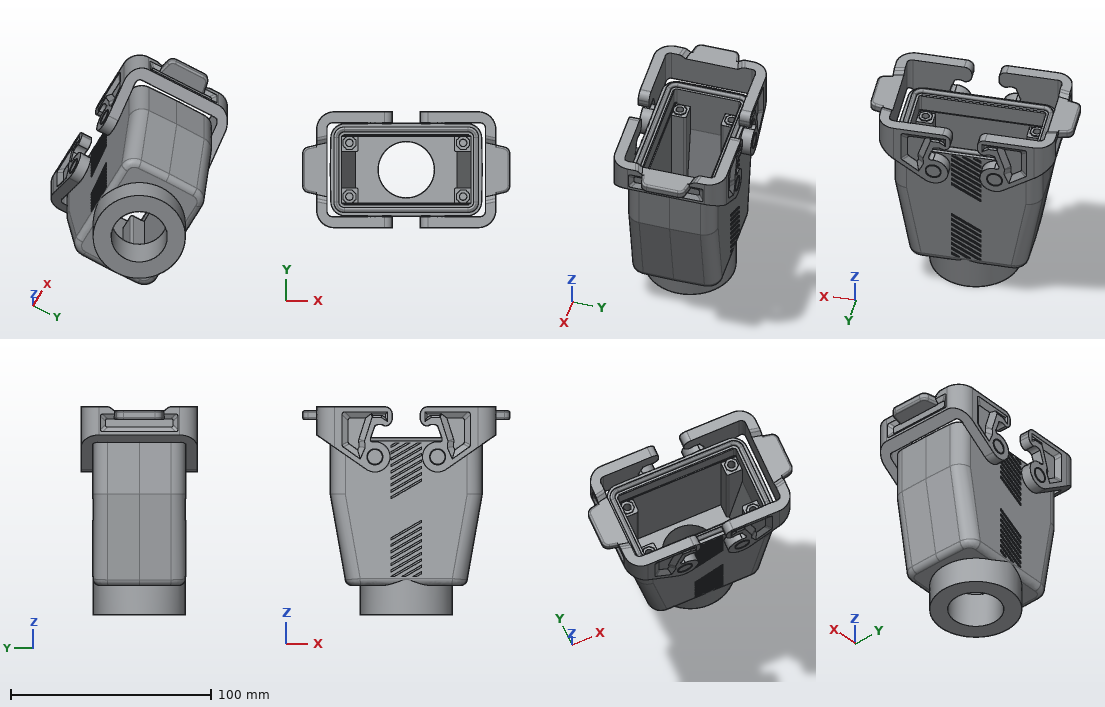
import cadquery as cq
import math

TOTAL_HEIGHT = 103.9
RIM_Z = 86.7
SHOULDER_Z = 60.2
BODY_BOTTOM_Z = 14.6

BODY_HALF_X = 38.0
BODY_HALF_Y = 23.05
SIDE_CROWN = 0.4
CORNER_RADIUS = 7.3
TAPER_ANGLE = 10.0
BOTTOM_FILLET = 3.5
BODY_BOTTOM_HALF_X = BODY_HALF_X - (SHOULDER_Z - BODY_BOTTOM_Z) * math.tan(math.radians(TAPER_ANGLE))

NECK_CLEARANCE = 0.02
NECK_RADIUS = BODY_HALF_Y - NECK_CLEARANCE
NECK_TOP_Z = 19.0
CABLE_HOLE_DIAMETER = 28.0

CAVITY_HALF_X = 32.4
CAVITY_HALF_Y = 16.6
MOUTH_HALF_Y = 17.2
MOUTH_CORNER_RADIUS = 1.2
MOUTH_BEVEL = 0.5
LEDGE_Z = 77.2
FLOOR_Z = 20.0
FLOOR_HALF_X = CAVITY_HALF_X - (SHOULDER_Z - FLOOR_Z) * math.tan(math.radians(TAPER_ANGLE))

POST_TOP_Z = 76.8
POST_INNER_X = 24.0
POST_INNER_Y = 9.0
POST_WALL_OVERLAP = 1.0
POST_CORNER_RADIUS = 1.2
SEAT_CENTER_X = 28.4
SEAT_CENTER_Y = 13.4
SEAT_SIDE = 6.4
SEAT_CHAMFER = 1.8
SEAT_HEIGHT = 0.6
SCREW_HOLE_DIAMETER = 3.7
SCREW_HOLE_DEPTH = 12.0

BEAD_HALF_X = 34.9
BEAD_HALF_Y = 20.1
BEAD_WIDTH = 2.5
BEAD_HEIGHT = 1.7
BEAD_TOP_RADIUS = 1.23
BEAD_CORNER_RADIUS = 4.0

HATCH_HALF_WIDTH = 7.55
HATCH_TOP_Z = 85.8
HATCH_BOTTOM_Z = 19.15
HATCH_HEIGHT = 0.3
HATCH_ANGLE = 30.0
HATCH_PITCH = 3.2
HATCH_RIB_HEIGHT_Z = 1.05
HATCH_RIBS_PER_GROUP = 9
UPPER_HATCH_START_Z = 84.1
LOWER_HATCH_START_Z = 37.9

LEVER_OUTER_X = 44.8
LEVER_INNER_X = 39.5
LEVER_OUTER_Y = 29.0
LEVER_INNER_Y = BODY_HALF_Y + HATCH_HEIGHT
LEVER_OUTER_RADIUS = 9.0
LEVER_INNER_RADIUS = 2.5
LEVER_TIP_X = 6.95
LEVER_HEEL_Z = 89.8
HOOK_BOTTOM_Z = 94.2
HOOK_RADIUS = 3.8
THROAT_CREST = (-13.4, 95.0)
THROAT_END = (-15.6, 94.3)
SHANK_CORNER_START = (-17.95, 87.7)
SHANK_CORNER_MIDDLE = (-17.6, 86.7)
PIVOT_X = 15.65
PIVOT_Z = 78.85
EYE_RADIUS = 7.55
PIN_RADIUS = 3.7
PIN_GAP_RADIUS = 4.0
PIN_GAP_DEPTH = 0.3
PIN_EMBED = 1.0

WALL_TILT = 56.0
ARM_RECESS_DEPTH = 2.0
ARM_RECESS_ROUNDING = 2.5
ARM_PANEL_POINTS = [
    (-32.0, 101.3),
    (-16.2, 101.3),
    (-20.8, 86.8),
    (-20.5, 83.5),
    (-23.0, 77.8),
    (-32.0, 84.2),
]
HOOK_GROOVE_POINTS = [
    (-19.5, 101.3),
    (-9.3, 101.3),
    (-9.3, 96.5),
    (-12.5, 98.6),
    (-17.0, 98.6),
]
HOOK_GROOVE_DEPTH = 0.65
BRIDGE_RECESS_HALF_Y = 19.3
BRIDGE_RECESS_BOTTOM_Z = 91.4
BRIDGE_RECESS_TOP_Z = 100.2
BRIDGE_RECESS_DEPTH = 1.6
BRIDGE_RECESS_ROUNDING = 2.0

TAB_TIP_X = 51.75
TAB_TOP_Z = 101.9
TAB_THICKNESS = 4.4
TAB_ROOT_HALF_Y = 13.5
TAB_TIP_HALF_Y = 10.8
TAB_CORNER_RADIUS = 3.5
TAB_EDGE_FILLET = 1.0
NOTCH_FLARE = 2.7
NOTCH_SHOULDER_RADIUS = 2.5


def half_body_section(half_x, z):
    """Section of the rear half: rounded rear corners, ends flaring toward and past the middle plane."""
    corner_x = half_x - SIDE_CROWN
    overrun_x = half_x + SIDE_CROWN
    points = [
        (overrun_x, -BODY_HALF_Y),
        (corner_x, BODY_HALF_Y),
        (-corner_x, BODY_HALF_Y),
        (-overrun_x, -BODY_HALF_Y),
    ]
    wire = cq.Wire.makePolygon([cq.Vector(x, y, z) for x, y in points], close=True)
    rear_corners = [v for v in wire.Vertices() if v.Y > 0]
    return wire.fillet2D(CORNER_RADIUS, rear_corners)


def make_body():
    """Tapered hood with slightly crowned ends, made as a rear half and its mirror image, plus the neck."""
    bottom = half_body_section(BODY_BOTTOM_HALF_X, BODY_BOTTOM_Z)
    shoulder = half_body_section(BODY_HALF_X, SHOULDER_Z)
    rim = half_body_section(BODY_HALF_X, RIM_Z)
    lower = cq.Workplane(cq.Solid.makeLoft([bottom, shoulder], True))
    lower = lower.faces("<Z").edges("not(<Y)").fillet(BOTTOM_FILLET)
    upper = cq.Workplane(cq.Solid.makeLoft([shoulder, rim], True))
    rear_space = cq.Workplane("XY").box(
        4 * BODY_HALF_X, 2 * BODY_HALF_Y, 2 * TOTAL_HEIGHT, centered=(True, False, True)
    )
    rear = lower.union(upper).intersect(rear_space)
    neck = cq.Workplane("XY").circle(NECK_RADIUS).extrude(NECK_TOP_Z)
    return rear.union(rear.mirror("XZ")).union(neck)


def make_cavity():
    """Inner space: tapered chamber, wider mouth with a bevelled rim, and the cable hole in the floor."""
    outline = [
        (-FLOOR_HALF_X, FLOOR_Z),
        (FLOOR_HALF_X, FLOOR_Z),
        (CAVITY_HALF_X, SHOULDER_Z),
        (CAVITY_HALF_X, LEDGE_Z),
        (-CAVITY_HALF_X, LEDGE_Z),
        (-CAVITY_HALF_X, SHOULDER_Z),
    ]
    cavity = cq.Workplane("XZ").polyline(outline).close().extrude(CAVITY_HALF_Y, both=True)
    mouth = (
        cq.Workplane("XY", origin=(0, 0, LEDGE_Z))
        .rect(2 * CAVITY_HALF_X, 2 * MOUTH_HALF_Y)
        .extrude(RIM_Z - LEDGE_Z)
        .edges("|Z")
        .fillet(MOUTH_CORNER_RADIUS)
    )
    bevel_length = 2 * (CAVITY_HALF_X - MOUTH_CORNER_RADIUS)
    bevel = (
        cq.Workplane("XY", origin=(0, 0, RIM_Z - MOUTH_BEVEL))
        .rect(bevel_length, 2 * MOUTH_HALF_Y)
        .workplane(offset=MOUTH_BEVEL)
        .rect(bevel_length, 2 * (MOUTH_HALF_Y + MOUTH_BEVEL))
        .loft(ruled=True)
    )
    cable_hole = cq.Workplane("XY").circle(CABLE_HOLE_DIAMETER / 2).extrude(RIM_Z)
    return cavity.union(mouth).union(bevel).union(cable_hole)


def make_corner_post():
    """Post in the +X +Y cavity corner with an octagonal seat and a blind screw hole."""
    base_z = FLOOR_Z - POST_WALL_OVERLAP
    shaft = (
        cq.Workplane("XY", origin=(POST_INNER_X, POST_INNER_Y, base_z))
        .rect(
            CAVITY_HALF_X + POST_WALL_OVERLAP - POST_INNER_X,
            CAVITY_HALF_Y + POST_WALL_OVERLAP - POST_INNER_Y,
            centered=False,
        )
        .extrude(POST_TOP_Z - SEAT_HEIGHT - base_z)
        .edges("|Z and <X and <Y")
        .fillet(POST_CORNER_RADIUS)
    )
    seat_center = (SEAT_CENTER_X, SEAT_CENTER_Y, POST_TOP_Z)
    seat = (
        cq.Workplane("XY", origin=seat_center)
        .rect(SEAT_SIDE, SEAT_SIDE)
        .extrude(-SEAT_HEIGHT)
        .edges("|Z")
        .chamfer(SEAT_CHAMFER)
    )
    hole = cq.Workplane("XY", origin=seat_center).circle(SCREW_HOLE_DIAMETER / 2).extrude(-SCREW_HOLE_DEPTH)
    return shaft.union(seat).cut(hole)


def make_bead():
    """Round-topped ring standing on the rim."""
    half_width = BEAD_WIDTH / 2

    def block(grow):
        return (
            cq.Workplane("XY", origin=(0, 0, RIM_Z))
            .rect(2 * (BEAD_HALF_X + grow), 2 * (BEAD_HALF_Y + grow))
            .extrude(BEAD_HEIGHT)
            .edges("|Z")
            .fillet(BEAD_CORNER_RADIUS + grow)
        )

    ring = block(half_width).cut(block(-half_width))
    return ring.faces(">Z").edges().fillet(BEAD_TOP_RADIUS)


def make_hatch():
    """Slanted raised ribs in two groups, trimmed to a rectangular band, on both broad faces."""
    rise = 2 * HATCH_HALF_WIDTH * math.tan(math.radians(HATCH_ANGLE))
    half_rib = HATCH_RIB_HEIGHT_Z / 2
    reach = BODY_HALF_Y + HATCH_HEIGHT
    ribs = cq.Workplane("XZ")
    for start_z in (UPPER_HATCH_START_Z, LOWER_HATCH_START_Z):
        for i in range(HATCH_RIBS_PER_GROUP):
            z = start_z - i * HATCH_PITCH
            ribs = ribs.polyline([
                (-HATCH_HALF_WIDTH, z - half_rib),
                (HATCH_HALF_WIDTH, z + rise - half_rib),
                (HATCH_HALF_WIDTH, z + rise + half_rib),
                (-HATCH_HALF_WIDTH, z + half_rib),
            ]).close()
    ribs = ribs.extrude(reach, both=True)
    band_height = HATCH_TOP_Z - HATCH_BOTTOM_Z
    band = cq.Workplane("XY").box(2 * HATCH_HALF_WIDTH, 2 * reach, band_height)
    core = cq.Workplane("XY").box(2 * HATCH_HALF_WIDTH, 2 * BODY_HALF_Y, band_height)
    middle_z = (HATCH_TOP_Z + HATCH_BOTTOM_Z) / 2
    return ribs.intersect(band.cut(core).translate((0, 0, middle_z)))


def lever_profile():
    """Side outline of the left lever: hook at the top, pivot eye at the bottom."""
    heel = (-LEVER_OUTER_X, LEVER_HEEL_Z)
    to_pivot_x = LEVER_OUTER_X - PIVOT_X
    to_pivot_z = PIVOT_Z - LEVER_HEEL_Z
    distance = math.hypot(to_pivot_x, to_pivot_z)
    slope = math.atan2(to_pivot_z, to_pivot_x) - math.asin(EYE_RADIUS / distance)
    tangent = (-PIVOT_X + EYE_RADIUS * math.sin(slope), PIVOT_Z - EYE_RADIUS * math.cos(slope))
    diagonal = HOOK_RADIUS * math.sqrt(0.5)
    hook_x = -LEVER_TIP_X - HOOK_RADIUS
    upper_z = TOTAL_HEIGHT - HOOK_RADIUS
    lower_z = HOOK_BOTTOM_Z + HOOK_RADIUS
    return (
        cq.Workplane("XZ")
        .moveTo(*heel)
        .lineTo(-LEVER_OUTER_X, TOTAL_HEIGHT)
        .lineTo(hook_x, TOTAL_HEIGHT)
        .threePointArc((hook_x + diagonal, upper_z + diagonal), (-LEVER_TIP_X, upper_z))
        .lineTo(-LEVER_TIP_X, lower_z)
        .threePointArc((hook_x + diagonal, lower_z - diagonal), (hook_x, HOOK_BOTTOM_Z))
        .threePointArc(THROAT_CREST, THROAT_END)
        .lineTo(*SHANK_CORNER_START)
        .threePointArc(SHANK_CORNER_MIDDLE, (-PIVOT_X, PIVOT_Z + EYE_RADIUS))
        .threePointArc((-PIVOT_X + EYE_RADIUS, PIVOT_Z), tangent)
        .close()
    )


def sloped_recess(plane, points, depth):
    """Sharp-cornered recess with walls tilted off the plane's normal, sunk below the plane."""
    return cq.Workplane(plane).polyline(points).close().extrude(-depth, taper=WALL_TILT)


def make_arm_recesses():
    """Panel recess and hook groove in the front arm, mirrored onto the rear arm."""
    face = cq.Plane(origin=(0, -LEVER_OUTER_Y, 0), xDir=(1, 0, 0), normal=(0, -1, 0))
    panel = sloped_recess(face, ARM_PANEL_POINTS, ARM_RECESS_DEPTH)
    panel = panel.edges("not(#Y)").edges("<X").fillet(ARM_RECESS_ROUNDING)
    front = panel.union(sloped_recess(face, HOOK_GROOVE_POINTS, HOOK_GROOVE_DEPTH))
    return front.union(front.mirror("XZ"))


def make_bridge_recess():
    face = cq.Plane(origin=(-LEVER_OUTER_X, 0, 0), xDir=(0, -1, 0), normal=(-1, 0, 0))
    points = [
        (-BRIDGE_RECESS_HALF_Y, BRIDGE_RECESS_BOTTOM_Z),
        (BRIDGE_RECESS_HALF_Y, BRIDGE_RECESS_BOTTOM_Z),
        (BRIDGE_RECESS_HALF_Y, BRIDGE_RECESS_TOP_Z),
        (-BRIDGE_RECESS_HALF_Y, BRIDGE_RECESS_TOP_Z),
    ]
    recess = sloped_recess(face, points, BRIDGE_RECESS_DEPTH)
    return recess.edges("not(#X)").fillet(BRIDGE_RECESS_ROUNDING)


def tab_half_y(distance_x):
    """Half width of the tab, which narrows from the bridge's inner face to the tip."""
    fraction = (distance_x - LEVER_INNER_X) / (TAB_TIP_X - LEVER_INNER_X)
    return TAB_ROOT_HALF_Y + fraction * (TAB_TIP_HALF_Y - TAB_ROOT_HALF_Y)


def make_notch():
    """Flared gap in the top of the bridge, level with the top of the tab."""
    sections = []
    for x in (LEVER_INNER_X, LEVER_OUTER_X):
        half_y = tab_half_y(x)
        points = [
            (-half_y, TAB_TOP_Z),
            (half_y, TAB_TOP_Z),
            (half_y + NOTCH_FLARE, TOTAL_HEIGHT),
            (-half_y - NOTCH_FLARE, TOTAL_HEIGHT),
        ]
        sections.append(cq.Wire.makePolygon([cq.Vector(-x, y, z) for y, z in points], close=True))
    return cq.Workplane(cq.Solid.makeLoft(sections, True))


def round_notch_shoulders(lever):
    """Round the two edges where the notch ramps meet the top of the bridge."""
    shoulder_y = tab_half_y((LEVER_INNER_X + LEVER_OUTER_X) / 2) + NOTCH_FLARE
    for y in (-shoulder_y, shoulder_y):
        middle = (-(LEVER_INNER_X + LEVER_OUTER_X) / 2, y, TOTAL_HEIGHT)
        lever = lever.edges(cq.NearestToPointSelector(middle)).fillet(NOTCH_SHOULDER_RADIUS)
    return lever


def make_tab():
    outline = [
        (-LEVER_INNER_X, -TAB_ROOT_HALF_Y),
        (-TAB_TIP_X, -TAB_TIP_HALF_Y),
        (-TAB_TIP_X, TAB_TIP_HALF_Y),
        (-LEVER_INNER_X, TAB_ROOT_HALF_Y),
    ]
    tab = cq.Workplane("XY", origin=(0, 0, TAB_TOP_Z)).polyline(outline).close().extrude(-TAB_THICKNESS)
    tab = tab.edges("|Z and <X").fillet(TAB_CORNER_RADIUS)
    return tab.faces("<X").edges(">Z or <Z").fillet(TAB_EDGE_FILLET)


def make_left_lever():
    """U-shaped lever wrapped around the left end of the body, with finger tab and pivot pins."""
    def block(half_x, half_y, radius):
        return (
            cq.Workplane("XY")
            .rect(2 * half_x, 2 * half_y)
            .extrude(TOTAL_HEIGHT)
            .edges("|Z")
            .fillet(radius)
        )

    frame = block(LEVER_OUTER_X, LEVER_OUTER_Y, LEVER_OUTER_RADIUS)
    frame = frame.cut(block(LEVER_INNER_X, LEVER_INNER_Y, LEVER_INNER_RADIUS))
    lever = frame.intersect(lever_profile().extrude(LEVER_OUTER_Y, both=True))
    lever = lever.cut(make_arm_recesses()).cut(make_bridge_recess()).cut(make_notch())
    lever = round_notch_shoulders(lever).union(make_tab())
    for sign in (-1, 1):
        face = cq.Plane(
            origin=(-PIVOT_X, sign * LEVER_OUTER_Y, PIVOT_Z), xDir=(1, 0, 0), normal=(0, -sign, 0)
        )
        gap = cq.Workplane(face).circle(PIN_GAP_RADIUS).circle(PIN_RADIUS).extrude(PIN_GAP_DEPTH)
        pin = cq.Workplane(face).circle(PIN_RADIUS).extrude(LEVER_OUTER_Y - BODY_HALF_Y + PIN_EMBED)
        lever = lever.cut(gap).union(pin)
    return lever


body = make_body()
result = body.cut(make_cavity())
corner_post = make_corner_post()
end_posts = corner_post.union(corner_post.mirror("XZ"))
posts = end_posts.union(end_posts.mirror("YZ")).intersect(body)
result = result.union(posts)
result = result.union(make_bead()).union(make_hatch())
left_lever = make_left_lever()
result = result.union(left_lever).union(left_lever.mirror("YZ"))